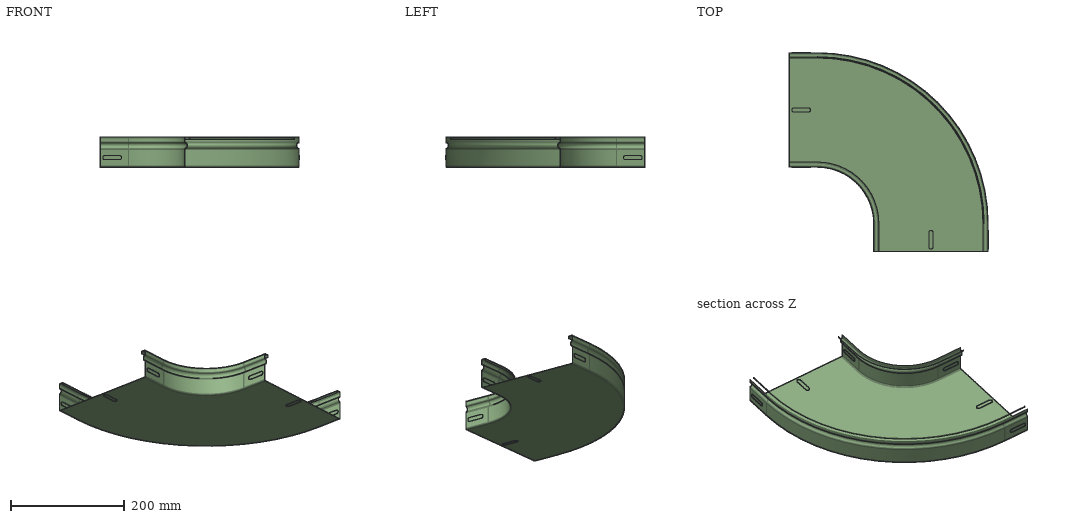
import cadquery as cq
import math


overall_length = 352.0
overall_height = 54.2
straight_length = 49.5
channel_width = 202.5
sheet = 0.7
pad_rise = 0.2

outer_radius = overall_length - pad_rise - straight_length
inner_radius = outer_radius - channel_width
middle_radius = (outer_radius + inner_radius) / 2

fold_radius = 1.8
lip_width = 9.0
lip_drop = 4.5
groove_below_top = 15.5
groove_depth = 4.2
groove_radius = 5.5
groove_blend_radius = 1.5

pad_length = 33.0
pad_width = 7.5
pad_from_end = 21.0
wall_pad_height = 17.2


def wall_arcs():
    """Arcs of the sheet's middle line from floor to lip, each as start, middle and end (inward, up)."""
    wall = sheet / 2
    low_fold = pad_rise + sheet / 2 + fold_radius
    top_fold = overall_height - sheet / 2 - fold_radius
    wall_fold = wall + fold_radius
    lip_fold = lip_width - sheet / 2 - fold_radius

    centre_distance = groove_radius + groove_blend_radius
    groove_angle = math.acos(1 - groove_depth / centre_distance)
    blend_offset = centre_distance * math.sin(groove_angle)
    groove_height = overall_height - groove_below_top
    groove_centre = wall + groove_depth - groove_radius
    blend_centre = wall + groove_blend_radius

    def arc(inward, height, radius, start, end):
        return [
            (inward + radius * math.cos(angle), height + radius * math.sin(angle))
            for angle in (start, (start + end) / 2, end)
        ]

    half_turn = math.pi
    quarter_turn = math.pi / 2
    return [
        arc(wall_fold, low_fold, fold_radius, half_turn + quarter_turn, half_turn),
        arc(blend_centre, groove_height - blend_offset, groove_blend_radius, half_turn, half_turn - groove_angle),
        arc(groove_centre, groove_height, groove_radius, -groove_angle, groove_angle),
        arc(blend_centre, groove_height + blend_offset, groove_blend_radius, half_turn + groove_angle, half_turn),
        arc(wall_fold, top_fold, fold_radius, half_turn, quarter_turn),
        arc(lip_fold, top_fold, fold_radius, quarter_turn, 0),
    ]


def channel_section():
    """Channel section at the start of the bend, drawn outward from the bend axis."""
    arcs = wall_arcs()
    inner_arcs = [[(inner_radius + x, z) for x, z in reversed(points)] for points in reversed(arcs)]
    outer_arcs = [[(outer_radius - x, z) for x, z in points] for points in arcs]
    lip_edge = overall_height - lip_drop
    touching = 0.005

    position = (inner_arcs[0][0][0], lip_edge)
    section = cq.Workplane("XZ").moveTo(*position)
    for start, middle, end in inner_arcs + outer_arcs:
        if math.dist(position, start) > touching:
            section = section.lineTo(*start)
        section = section.threePointArc(middle, end)
        position = end
    section = section.lineTo(outer_arcs[-1][-1][0], lip_edge)
    return section.wire().offset2D(sheet / 2)


def about_diagonal(body):
    """The other end's copy of a body, with X and Y exchanged."""
    return body.rotate((0, 0, 0), (0, 0, 1), -90).mirror("XZ")


def pad_outline(plane, origin, turn):
    return cq.Workplane(plane, origin=origin).slot2D(pad_length, pad_width, turn)


def end_pads(shift):
    """Pads of the straight length along Y, as sheet-thick slugs moved outward from the sheet by a shift."""
    along = pad_from_end - straight_length
    floor_pad = pad_outline("XY", (middle_radius, along, pad_rise - shift), 90).extrude(sheet)
    centre_height = pad_rise + wall_pad_height
    inner_pad = pad_outline("YZ", (inner_radius - shift, along, centre_height), 0).extrude(sheet)
    outer_pad = pad_outline("YZ", (outer_radius + shift, along, centre_height), 0).extrude(-sheet)
    return floor_pad.union(inner_pad).union(outer_pad)


bend = channel_section().revolve(90, (0, 0, 0), (0, 1, 0))
straight = channel_section().extrude(straight_length)
straight = straight.cut(end_pads(0)).union(end_pads(pad_rise))

result = bend.union(straight).union(about_diagonal(straight))
result = result.translate((straight_length, straight_length, 0))